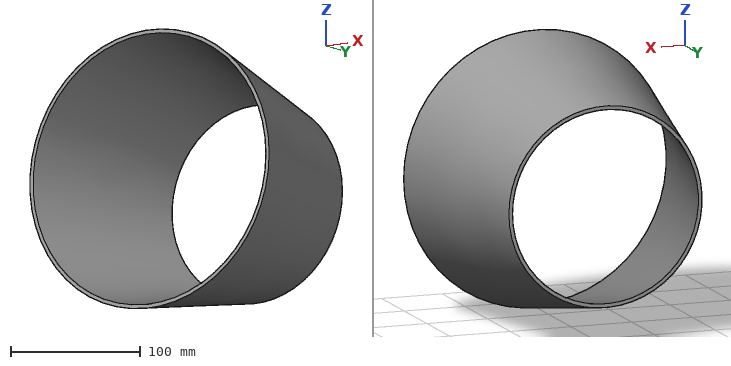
import cadquery as cq
import math

large_diameter = 219.1
small_diameter = 159.0
length = 152.0
wall_thickness = 3.0

large_radius = large_diameter / 2
small_radius = small_diameter / 2
half_angle = math.atan2(large_radius - small_radius, length)
radial_wall = wall_thickness / math.cos(half_angle)


def conical_shell():
    """Radial section of the wall, revolved a full turn about the Y axis."""
    wall_section = (
        cq.Workplane("XY")
        .moveTo(large_radius - radial_wall, 0)
        .lineTo(large_radius, 0)
        .lineTo(small_radius, length)
        .lineTo(small_radius - radial_wall, length)
        .close()
    )
    return wall_section.revolve(360, (0, 0, 0), (0, 1, 0))


result = conical_shell()